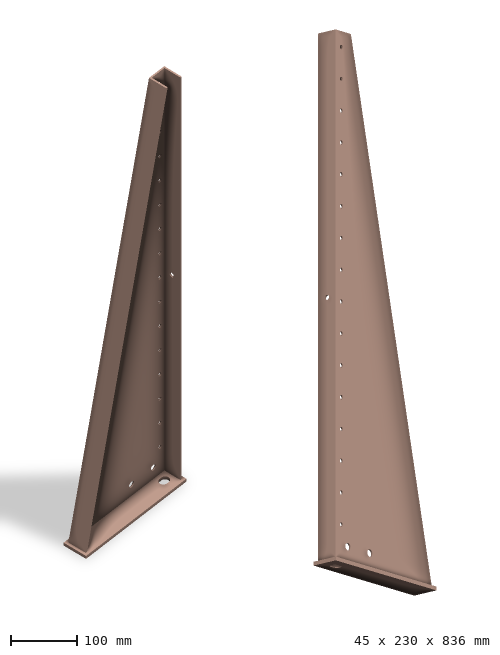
import cadquery as cq

BASE_WIDTH = 45.0
BASE_DEPTH = 230.0
BASE_THICKNESS = 6.0

TOTAL_HEIGHT = 836.0
BASE_MARGIN = 5.0
SHEET = 3.0
TOP_DEPTH = 35.0

ROW_COUNT = 16
ROW_SPAN = 750.0
ROW_TOP_DROP = 25.0
ROW_BACK_OFFSET = 13.0
ROW_DIAMETER = 7.0

LOW_DIAMETER = 12.0
LOW_COUNT = 2
LOW_HEIGHT = 29.0
LOW_BACK_OFFSET = 28.5
LOW_PITCH = 50.0

SLOT_WIDTH = 15.0
SLOT_LENGTH = 19.0
SLOT_BACK_OFFSET = 20.0

BACK_HOLE_DIAMETER = 8.0

channel_width = BASE_WIDTH - 2 * BASE_MARGIN
left_x = -channel_width / 2
front_y = -BASE_DEPTH / 2 + BASE_MARGIN
back_y = BASE_DEPTH / 2 - BASE_MARGIN
row_pitch = ROW_SPAN / (ROW_COUNT - 1)
top_front_y = back_y - TOP_DEPTH


def make_base():
    """Flat plate with its underside at Z = 0."""
    return cq.Workplane("XY").box(BASE_WIDTH, BASE_DEPTH, BASE_THICKNESS, centered=(True, True, False))


def make_channel():
    """Side wall with a vertical back flange and a sloping front flange, open towards +X."""
    side_outline = (
        cq.Workplane("YZ", origin=(left_x, 0, 0))
        .moveTo(front_y, BASE_THICKNESS)
        .lineTo(back_y, BASE_THICKNESS)
        .lineTo(back_y, TOTAL_HEIGHT)
        .lineTo(top_front_y, TOTAL_HEIGHT)
        .close()
    )
    block = side_outline.extrude(channel_width)
    return block.faces(">X or >Z or <Z").shell(-SHEET)


def side_holes(points, diameter):
    """Cylinders along X that cut the side wall at the given (Y, Z) points."""
    outer_face = cq.Workplane("YZ", origin=(left_x, 0, 0))
    return outer_face.pushPoints(points).circle(diameter / 2).extrude(SHEET)


row_points = [
    (back_y - ROW_BACK_OFFSET, TOTAL_HEIGHT - ROW_TOP_DROP - i * row_pitch)
    for i in range(ROW_COUNT)
]
low_points = [(back_y - LOW_BACK_OFFSET - i * LOW_PITCH, LOW_HEIGHT) for i in range(LOW_COUNT)]

base_slot = (
    cq.Workplane("XY")
    .center(0, back_y - SLOT_BACK_OFFSET)
    .slot2D(SLOT_LENGTH, SLOT_WIDTH, 90)
    .extrude(BASE_THICKNESS)
)
back_hole = (
    cq.Workplane("XZ", origin=(0, back_y, TOTAL_HEIGHT / 2))
    .circle(BACK_HOLE_DIAMETER / 2)
    .extrude(SHEET)
)

result = (
    make_base()
    .union(make_channel())
    .cut(side_holes(row_points, ROW_DIAMETER))
    .cut(side_holes(low_points, LOW_DIAMETER))
    .cut(base_slot)
    .cut(back_hole)
)